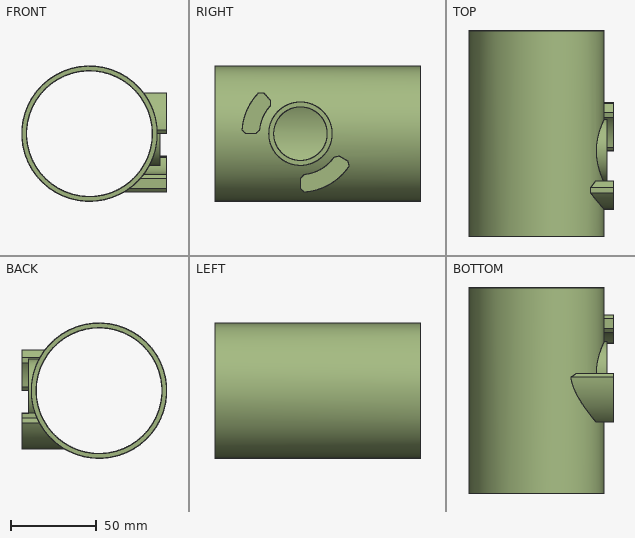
import cadquery as cq
import math

tube_length = 120.0
tube_radius = 39.5
tube_wall = 2.9
tube_bore_radius = tube_radius - tube_wall

port_y = -10.1
port_radius = 18.5
port_wall = 2.9
port_bore_radius = port_radius - port_wall
port_face_x = 41.2

lug_face_x = 45.0
lug_inner_radius = 23.9
lug_outer_radius = 34.1
lug_chamfer = 2.2
lug_angles = [(132, 180), (270, 330)]


def port_cylinder(radius, end_x):
    """Solid cylinder from the tube axis outwards along the port axis."""
    return cq.Workplane("YZ").center(port_y, 0).circle(radius).extrude(end_x)


def polar(radius, angle):
    return (radius * math.cos(angle), radius * math.sin(angle))


def lug(start_degrees, end_degrees):
    """Arc-shaped block with chamfered corners at both radial end faces."""
    start = math.radians(start_degrees)
    end = math.radians(end_degrees)
    middle = (start + end) / 2
    inner_setback = math.asin(lug_chamfer / lug_inner_radius)
    outer_setback = math.asin(lug_chamfer / lug_outer_radius)
    flat_inner = lug_inner_radius + lug_chamfer
    flat_outer = lug_outer_radius - lug_chamfer
    return (
        cq.Workplane("YZ")
        .center(port_y, 0)
        .moveTo(*polar(flat_inner, start))
        .lineTo(*polar(flat_outer, start))
        .lineTo(*polar(lug_outer_radius, start + outer_setback))
        .threePointArc(polar(lug_outer_radius, middle), polar(lug_outer_radius, end - outer_setback))
        .lineTo(*polar(flat_outer, end))
        .lineTo(*polar(flat_inner, end))
        .lineTo(*polar(lug_inner_radius, end - inner_setback))
        .threePointArc(polar(lug_inner_radius, middle), polar(lug_inner_radius, start + inner_setback))
        .close()
        .extrude(lug_face_x)
    )


def tube_cylinder(radius):
    return cq.Workplane("XZ").circle(radius).extrude(tube_length / 2, both=True)


body = tube_cylinder(tube_radius).union(port_cylinder(port_radius, port_face_x))
for start_degrees, end_degrees in lug_angles:
    body = body.union(lug(start_degrees, end_degrees))

result = body.cut(tube_cylinder(tube_bore_radius)).cut(port_cylinder(port_bore_radius, port_face_x))